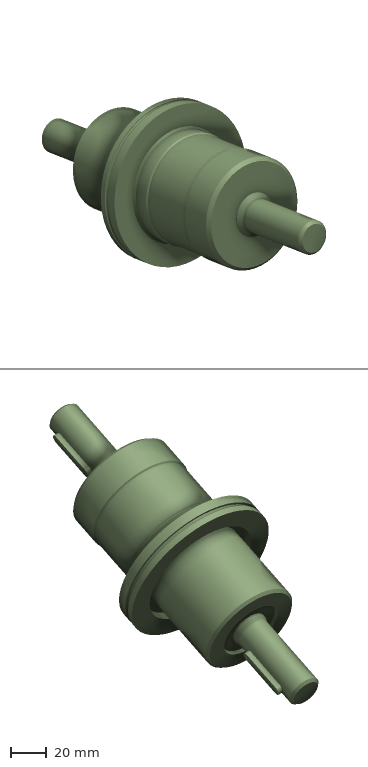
import cadquery as cq

total_length = 230.0
hub_start = 52.0
flange_start = 99.5
groove_start = 103.3
groove_end = 106.0
flange_end = 111.8
waist_start = 122.0
waist_end = 156.5
body_end = 176.9

shaft_radius = 10.0
hub_radius = 30.02
flange_radius = 47.5
body_radius = 33.0
waist_radius = 32.2

shaft_chamfer = 1.5
hub_chamfer = 1.5
body_chamfer = 2.0
root_chamfer = 1.2
waist_step = body_radius - waist_radius
groove_depth = 1.4
groove_slope_length = 1.4

left_collar_radius = 11.0
left_cone_length = 2.0
left_cone_start = 50.0
right_collar_radius = 12.9
right_collar_length = 0.7
right_cone_length = 2.3

bore_radius = 17.7
bore_depth = 2.0
bore_taper = 0.7
flange_recess_radius = 35.2
flange_recess_depth = 5.3

key_length = 33.0
key_width = 6.0
key_top = 12.6
key_end_gap = 8.5


def make_turned_body():
    """Revolve the stepped half profile, given as (x, radius), around the X axis."""
    recess_floor = flange_start + flange_recess_depth
    bore_floor = hub_start + bore_depth
    collar_end = body_end + right_collar_length
    profile = [
        (0, 0),
        (0, shaft_radius - shaft_chamfer),
        (shaft_chamfer, shaft_radius),
        (left_cone_start, shaft_radius),
        (left_cone_start + left_cone_length, left_collar_radius),
        (bore_floor, left_collar_radius),
        (bore_floor, bore_radius),
        (hub_start, bore_radius + bore_taper),
        (hub_start, hub_radius - hub_chamfer),
        (hub_start + hub_chamfer, hub_radius),
        (recess_floor, hub_radius),
        (recess_floor, flange_recess_radius),
        (flange_start, flange_recess_radius),
        (flange_start, flange_radius),
        (groove_start, flange_radius),
        (groove_start, flange_radius - groove_depth / 2),
        (groove_start + groove_slope_length, flange_radius - groove_depth),
        (groove_end, flange_radius - groove_depth),
        (groove_end, flange_radius),
        (flange_end, flange_radius),
        (flange_end, body_radius + root_chamfer),
        (flange_end + root_chamfer, body_radius),
        (waist_start, body_radius),
        (waist_start + waist_step, waist_radius),
        (waist_end - waist_step, waist_radius),
        (waist_end, body_radius),
        (body_end - body_chamfer, body_radius),
        (body_end, body_radius - body_chamfer),
        (body_end, right_collar_radius),
        (collar_end, right_collar_radius),
        (collar_end + right_cone_length, shaft_radius),
        (total_length - shaft_chamfer, shaft_radius),
        (total_length, shaft_radius - shaft_chamfer),
        (total_length, 0),
    ]
    return cq.Workplane("XY").polyline(profile).close().revolve(360, (0, 0, 0), (1, 0, 0))


def make_key(center_x):
    """Round-ended key reaching from the shaft axis out past its +Y side."""
    return (
        cq.Workplane("XZ")
        .center(center_x, 0)
        .slot2D(key_length, key_width)
        .extrude(-key_top)
    )


key_center_offset = key_end_gap + key_length / 2

result = make_turned_body()
for key_center in (key_center_offset, total_length - key_center_offset):
    result = result.union(make_key(key_center))